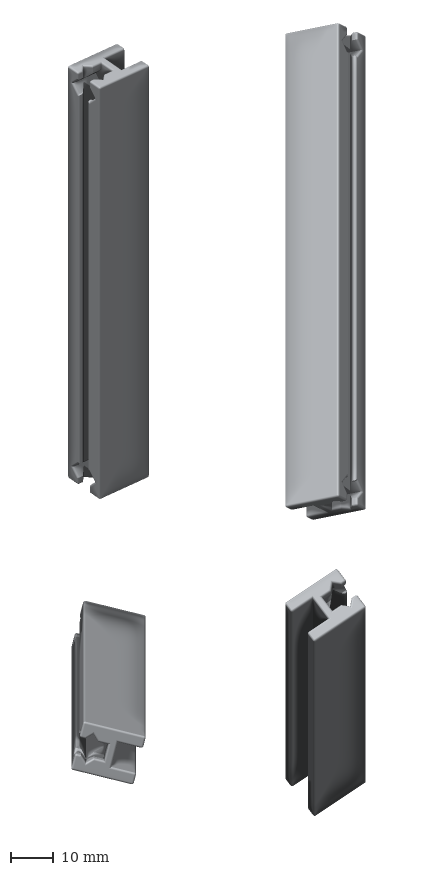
import cadquery as cq

width = 12.0
depth = 15.0
height = 116.0
edge_radius = 0.49

back_groove_width = 6.1
back_groove_depth = 6.0

neck_width = 3.0
neck_depth = 0.9
diamond_width = 7.1
diamond_tip_depth = neck_depth + (diamond_width - neck_width) / 2
channel_depth = diamond_tip_depth + diamond_width / 2

end_neck_width = 4.1
end_neck_height = 2.0
hexagon_width = 8.1
hexagon_slope_height = (hexagon_width - end_neck_width) / 2
hexagon_tip_height = end_neck_height + hexagon_slope_height
end_channel_height = hexagon_tip_height + hexagon_slope_height
end_channel_depth = 7.0

front_y = -depth / 2
back_y = depth / 2
top_z = height / 2


def mirrored_outline(plane, right_half):
    """Closed outline from its right half, mirrored about the local vertical axis."""
    left_half = [(-x, y) for x, y in reversed(right_half) if x > 0]
    return cq.Workplane(plane).polyline(right_half + left_half).close()


def front_channel():
    right_half = [
        (neck_width / 2, front_y),
        (neck_width / 2, front_y + neck_depth),
        (diamond_width / 2, front_y + diamond_tip_depth),
        (0, front_y + channel_depth),
    ]
    return mirrored_outline("XY", right_half).extrude(height / 2, both=True)


def back_groove():
    cutter = cq.Workplane("XY").box(back_groove_width, 2 * back_groove_depth, height)
    return cutter.translate((0, back_y, 0))


def top_channel():
    right_half = [
        (end_neck_width / 2, top_z),
        (end_neck_width / 2, top_z - end_neck_height),
        (hexagon_width / 2, top_z - hexagon_tip_height),
        (end_neck_width / 2, top_z - end_channel_height),
    ]
    channel = mirrored_outline("XZ", right_half).extrude(-end_channel_depth)
    return channel.translate((0, front_y, 0))


body = cq.Workplane("XY").box(width, depth, height)
body = body.cut(front_channel()).cut(back_groove())
body = body.cut(top_channel()).cut(top_channel().mirror("XY"))

result = body.faces("<Y or >Y or <Z or >Z").fillet(edge_radius)